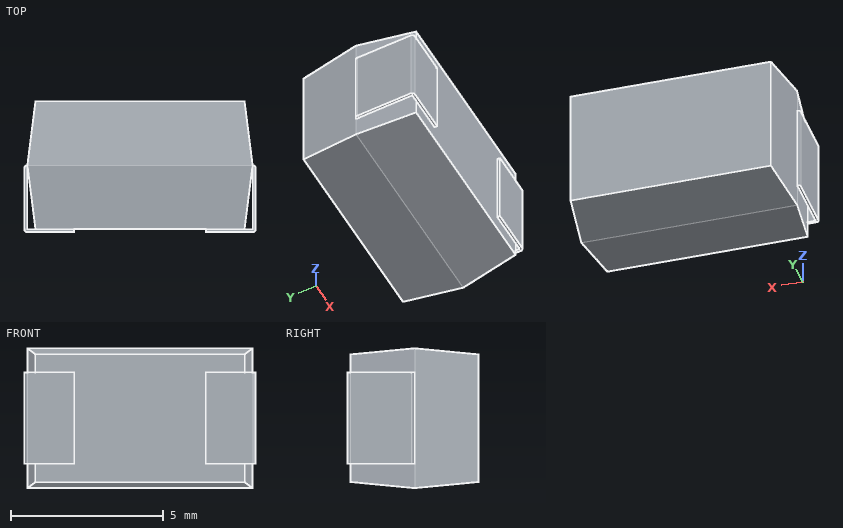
import cadquery as cq

total_length = 7.6
lead_thickness = 0.1
body_length = total_length - 2 * lead_thickness
body_height = 4.6
total_depth = 4.3
half_depth = (total_depth - lead_thickness) / 2
end_length = 6.87
end_height = 4.195

lead_width = 3.0
foot_length = 1.635
lead_embed = 0.15


def body_half(direction):
    """Half of the body, tapering from the parting plane along +Y or -Y."""
    return (
        cq.Workplane("XZ")
        .rect(body_length, body_height)
        .workplane(offset=-direction * half_depth)
        .rect(end_length, end_height)
        .loft(combine=True)
    )


def left_lead():
    """Strip that leaves the body at the parting plane and folds under its -Y face."""
    outer_x = -total_length / 2
    inner_x = outer_x + lead_thickness
    foot_end_x = outer_x + foot_length
    embed_x = inner_x + lead_embed
    top_y = 0
    foot_y = -half_depth
    bottom_y = foot_y - lead_thickness

    return (
        cq.Workplane("XY")
        .moveTo(embed_x, top_y)
        .lineTo(inner_x, top_y)
        .radiusArc((outer_x, top_y - lead_thickness), -lead_thickness)
        .lineTo(outer_x, foot_y)
        .radiusArc((inner_x, bottom_y), -lead_thickness)
        .lineTo(foot_end_x, bottom_y)
        .lineTo(foot_end_x, foot_y)
        .lineTo(inner_x, foot_y)
        .lineTo(inner_x, top_y - lead_thickness)
        .lineTo(embed_x, top_y - lead_thickness)
        .close()
        .extrude(lead_width / 2, both=True)
    )


body = body_half(1).union(body_half(-1))
lead = left_lead()
result = body.union(lead).union(lead.mirror("YZ"))